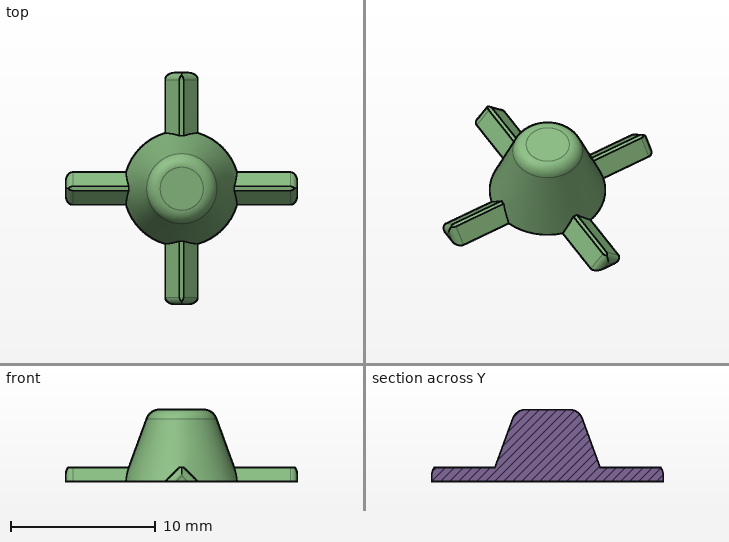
import cadquery as cq
import math

span = 16.0
height = 5.0
base_radius = 4.0
draft_angle = 20.0
top_fillet = 1.0

arm_width = 2.27
arm_height = 1.0
flank_angle = 45.0
tip_fillet = 0.5


def make_hub():
    top_radius = base_radius - height * math.tan(math.radians(draft_angle))
    cone = cq.Solid.makeCone(base_radius, top_radius, height)
    return cq.Workplane(cone).faces(">Z").edges().fillet(top_fillet)


def make_bar():
    """Bar along X through the centre, forming two opposite arms."""
    half_width = arm_width / 2
    apex_height = half_width * math.tan(math.radians(flank_angle))
    section = [(-half_width, 0), (half_width, 0), (0, apex_height)]
    bar = (
        cq.Workplane("YZ")
        .polyline(section)
        .close()
        .extrude(span / 2, both=True)
    )
    bar = bar.faces("<X or >X").edges("not <Z").fillet(tip_fillet)
    keep = cq.Workplane().box(span, arm_width, arm_height, centered=(True, True, False))
    return bar.intersect(keep)


bar = make_bar()
cross_bar = bar.rotate((0, 0, 0), (0, 0, 1), 90)
result = make_hub().union(bar).union(cross_bar)